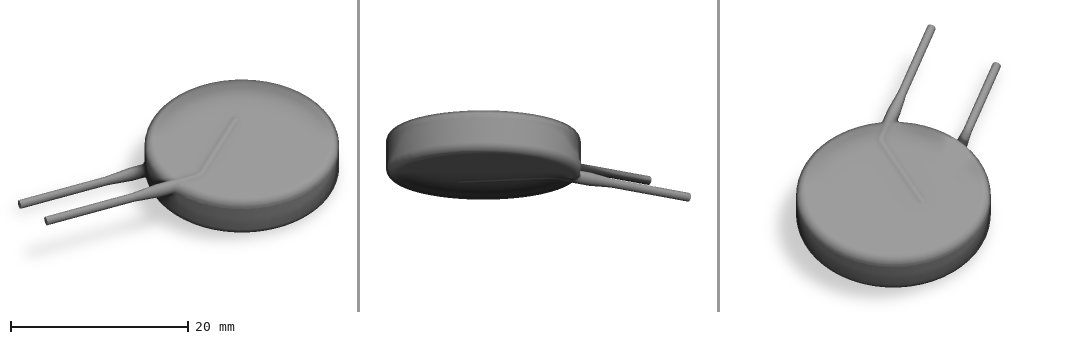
import cadquery as cq
import math

DISC_RADIUS = 11.0
DISC_THICKNESS = 5.0
DISC_EDGE_FILLET = 1.0

LEAD_PITCH = 7.75
COAT_RADIUS = 0.75
RIDGE_HEIGHT = 0.075
COAT_BLEND = 0.5
COAT_END_Y = -12.0

BEND_START_Y = -7.6
BEND_RADIUS = 2.0
BEND_ANGLE = math.radians(45)
DIAGONAL_LENGTH = 9.6

WIRE_RADIUS = 0.5
TAPER_LENGTH = 3.0
WIRE_END_Y = -25.6

CONTACT_TOLERANCE = 1e-4

LEAD_X = LEAD_PITCH / 2
LEAD_Z = DISC_THICKNESS / 2 + RIDGE_HEIGHT - COAT_RADIUS
TAPER_END_Y = COAT_END_Y - TAPER_LENGTH


def make_disc():
    disc = cq.Workplane("XY").circle(DISC_RADIUS).extrude(DISC_THICKNESS / 2, both=True)
    return disc.edges("%CIRCLE").fillet(DISC_EDGE_FILLET)


def bend_point(angle):
    """Point on the bend centreline after turning by the given angle."""
    x = LEAD_X - BEND_RADIUS * (1 - math.cos(angle))
    y = BEND_START_Y + BEND_RADIUS * math.sin(angle)
    return x, y


def make_coat():
    """Coated lead of the upper face: straight run, bend and diagonal run with a round end."""
    bend_end = bend_point(BEND_ANGLE)
    diagonal_end = (
        bend_end[0] - DIAGONAL_LENGTH * math.sin(BEND_ANGLE),
        bend_end[1] + DIAGONAL_LENGTH * math.cos(BEND_ANGLE),
    )
    path = (
        cq.Workplane("XY", origin=(0, 0, LEAD_Z))
        .moveTo(LEAD_X, COAT_END_Y)
        .lineTo(LEAD_X, BEND_START_Y)
        .threePointArc(bend_point(BEND_ANGLE / 2), bend_end)
        .lineTo(*diagonal_end)
    )
    section = cq.Workplane("XZ", origin=(LEAD_X, COAT_END_Y, LEAD_Z)).circle(COAT_RADIUS)
    round_end = cq.Workplane("XY", origin=(*diagonal_end, LEAD_Z)).sphere(COAT_RADIUS)
    return section.sweep(path).union(round_end)


def make_wire():
    """Cone and bare wire that continue the upper coated lead."""
    half_profile = (
        cq.Workplane("XY", origin=(LEAD_X, 0, LEAD_Z))
        .moveTo(0, COAT_END_Y)
        .lineTo(COAT_RADIUS, COAT_END_Y)
        .lineTo(WIRE_RADIUS, TAPER_END_Y)
        .lineTo(WIRE_RADIUS, WIRE_END_Y)
        .lineTo(0, WIRE_END_Y)
        .close()
    )
    return half_profile.revolve(360, (0, 0, 0), (0, 1, 0))


def to_lower_face(shape):
    """Turn an upper-face shape half a turn about the Y axis."""
    return shape.rotate((0, 0, 0), (0, 1, 0), 180)


def join_blended(disc, coats):
    """Join the coated leads to the disc and fillet the lines where they meet it."""
    joined = disc
    for coat in coats:
        joined = joined.union(coat)

    def touches(solid, edge):
        middle = cq.Vertex.makeVertex(*edge.positionAt(0.5).toTuple())
        return solid.val().distance(middle) < CONTACT_TOLERANCE

    def is_seam(edge):
        return touches(disc, edge) and any(touches(coat, edge) for coat in coats)

    return joined.edges().filter(is_seam).fillet(COAT_BLEND)


upper_coat = make_coat()
upper_wire = make_wire()
result = (
    join_blended(make_disc(), [upper_coat, to_lower_face(upper_coat)])
    .union(upper_wire)
    .union(to_lower_face(upper_wire))
)